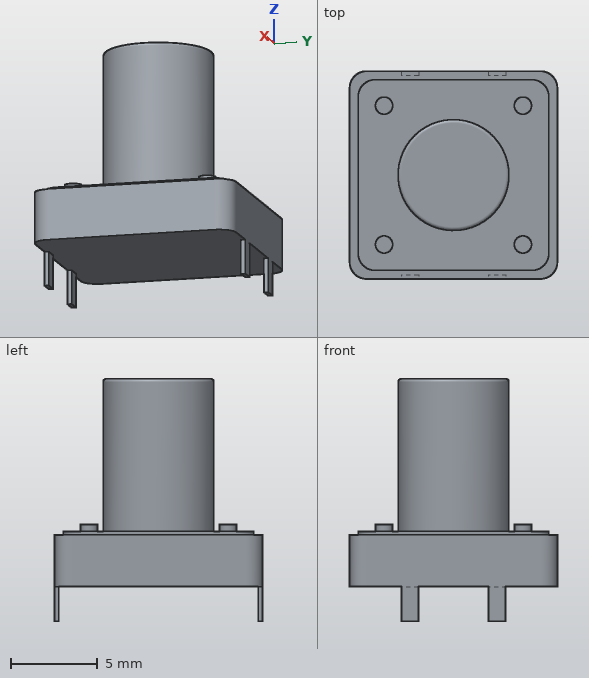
import cadquery as cq

total_height = 14.0
body_width = 12.0

leg_length = 2.0
body_height = 3.0
plate_thickness = 0.2
peg_height = 0.4
plate_top = body_height + plate_thickness
button_height = total_height - leg_length - plate_top

plate_width = 11.0
corner_radius = 1.0
button_diameter = 6.4
button_edge_radius = 0.2
peg_diameter = 1.0
peg_offset = 4.0
leg_width = 1.0
leg_thickness = 0.25
leg_offset_x = 2.5
leg_offset_y = (body_width - leg_thickness) / 2


def rounded_square(width, height, base_z):
    """Square slab with rounded vertical corners."""
    slab = cq.Workplane("XY").workplane(offset=base_z).rect(width, width).extrude(height)
    return slab.edges("|Z").fillet(corner_radius)


def four_places(x, y):
    """Points mirrored about both centre planes."""
    return [(sx * x, sy * y) for sx in (-1, 1) for sy in (-1, 1)]


body = rounded_square(body_width, body_height, 0)
cover_plate = rounded_square(plate_width, plate_thickness, body_height)

button = (
    cq.Workplane("XY")
    .workplane(offset=plate_top)
    .circle(button_diameter / 2)
    .extrude(button_height)
    .faces(">Z")
    .edges()
    .fillet(button_edge_radius)
)

pegs = (
    cq.Workplane("XY")
    .workplane(offset=plate_top)
    .pushPoints(four_places(peg_offset, peg_offset))
    .circle(peg_diameter / 2)
    .extrude(peg_height)
)

legs = (
    cq.Workplane("XY")
    .pushPoints(four_places(leg_offset_x, leg_offset_y))
    .rect(leg_width, leg_thickness)
    .extrude(-leg_length)
)

result = body.union(cover_plate).union(button).union(pegs).union(legs)